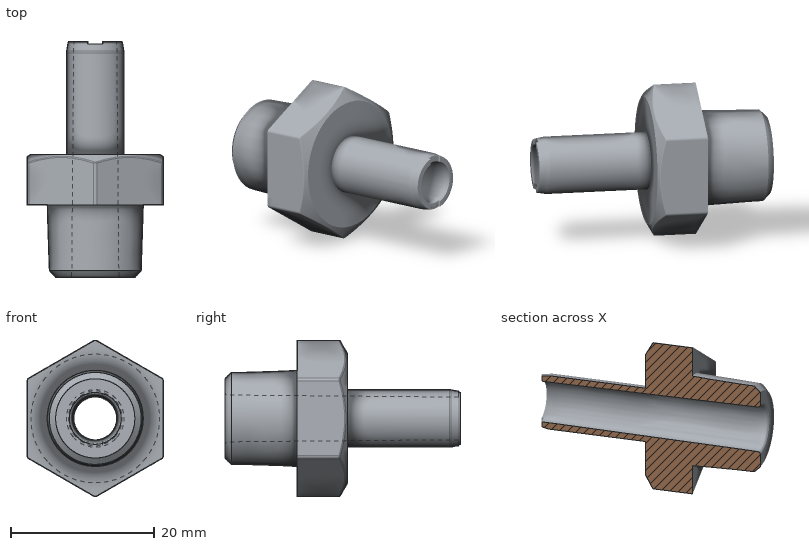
import cadquery as cq
import math

total_length = 32.9
hex_front = 10.1
hex_thickness = 7.05
hex_back = hex_front + hex_thickness

thread_base_radius = 6.7
thread_end_radius = 6.4
thread_chamfer_length = 0.92
thread_face_radius = 5.53

across_flats = 19.0
half_sector = 30.0
across_corners = across_flats / math.cos(math.radians(half_sector))
hex_corner_fillet = 0.5
hex_back_radius = 8.98
hex_bevel_angle = 30.0
hex_bevel_blend = 0.2

stem_radius = 4.0
tip_length = 1.45
tip_start = total_length - tip_length
tip_blend_radius = 1.65
tip_radius = 3.8
tip_bevel_length = 0.23
tip_end_radius = 3.75
slot_width = 2.05
slot_depth = 0.33

mouth_radius = 3.62
mouth_depth = 0.2
mouth_blend_radius = 0.25
bore_front_radius = 3.3
bore_back_radius = 3.0


def revolve_profile(points):
    """Revolve a closed (radius, y) outline about the Y axis."""
    outline = cq.Workplane("XY").polyline(points).close()
    return outline.revolve(360, (0, 0, 0), (0, 1, 0))


def fillet_ring(body, y, radius):
    """Round the circular edge that lies at station y."""
    reach = across_corners
    margin = 0.03
    ring = cq.selectors.BoxSelector((-reach, y - margin, -reach), (reach, y + margin, reach))
    return body.edges(ring).edges("%CIRCLE").fillet(radius)


def make_thread_body():
    return revolve_profile([
        (0, 0),
        (thread_face_radius, 0),
        (thread_end_radius, thread_chamfer_length),
        (thread_base_radius, hex_front),
        (0, hex_front),
    ])


def make_hexagon():
    prism = (
        cq.Workplane("XZ", origin=(0, hex_back, 0))
        .transformed(rotate=(0, 0, half_sector))
        .polygon(6, across_corners)
        .extrude(hex_thickness)
        .edges("|Y")
        .fillet(hex_corner_fillet)
    )
    cone_radius = hex_back_radius + hex_thickness / math.tan(math.radians(hex_bevel_angle))
    bevel_cone = revolve_profile([
        (0, hex_back),
        (hex_back_radius, hex_back),
        (cone_radius, hex_front),
        (0, hex_front),
    ])
    bevel_cone = bevel_cone.rotate((0, 0, 0), (0, 1, 0), half_sector)
    bevelled = prism.intersect(bevel_cone)
    bevel_edges = bevelled.faces("%CONE").edges("not(%CIRCLE or %LINE)")
    return bevel_edges.fillet(hex_bevel_blend)


def make_stem():
    stem = revolve_profile([
        (0, hex_back),
        (stem_radius, hex_back),
        (stem_radius, tip_start),
        (tip_radius, total_length - tip_bevel_length),
        (tip_end_radius, total_length),
        (0, total_length),
    ])
    return fillet_ring(stem, tip_start, tip_blend_radius)


def make_bore():
    bore = revolve_profile([
        (0, 0),
        (mouth_radius, 0),
        (bore_front_radius, mouth_depth),
        (bore_back_radius, total_length),
        (0, total_length),
    ])
    return fillet_ring(bore, mouth_depth, mouth_blend_radius)


def make_tip_slot():
    """Shallow slot across the stem tip, running along Z."""
    slot = cq.Workplane("XY").box(slot_width, slot_depth, 2 * stem_radius)
    return slot.translate((0, total_length - slot_depth / 2, 0))


body = make_hexagon().union(make_thread_body()).union(make_stem())
result = body.cut(make_bore()).cut(make_tip_slot())